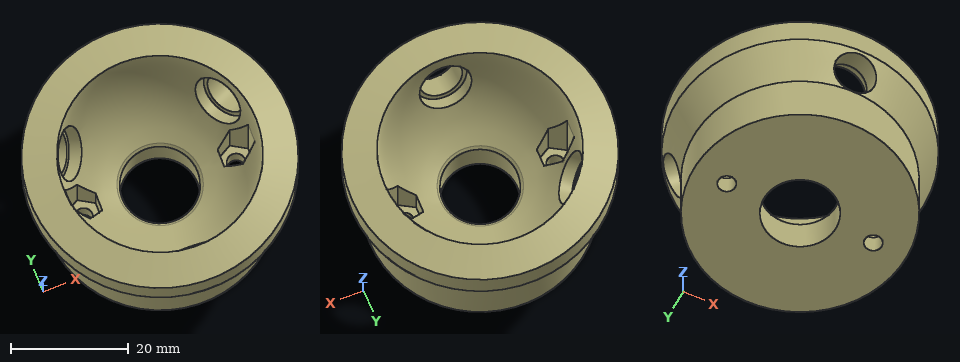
import cadquery as cq
import math

rim_radius = 23.5
base_radius = 20.2
top_height = 24.45
rim_top = 23.35
flare_top = 18.0
flare_bottom = 10.1
mouth_radius = 17.5

ball_center_height = 23.15
cavity_radius = 17.55
drain_radius = 6.8
drain_chamfer_radius = 7.35

support_angles = (30, 150, 270)
support_tilt = 23.5
support_radius = 3.9
counterbore_radius = 4.7
counterbore_floor_distance = 19.25
support_length = 32.9

screw_offset = 13.8
screw_radius = 1.6
nut_corner_diameter = 6.4
nut_floor_height = 4.0


def make_body():
    """Cylindrical base, conical flare and a rim with a gently sloping top."""
    profile = (
        cq.Workplane("XZ")
        .lineTo(base_radius, 0)
        .lineTo(base_radius, flare_bottom)
        .lineTo(rim_radius, flare_top)
        .lineTo(rim_radius, rim_top)
        .lineTo(mouth_radius, top_height)
        .lineTo(0, top_height)
        .close()
    )
    return profile.revolve(360, (0, 0), (0, 1))


def make_cavity():
    """Ball seat and the chamfered drain below it."""
    ball = cq.Workplane("XY").sphere(cavity_radius).translate((0, 0, ball_center_height))
    seat_height = ball_center_height - math.sqrt(cavity_radius**2 - drain_chamfer_radius**2)
    chamfer_bottom = seat_height - (drain_chamfer_radius - drain_radius)
    drain = (
        cq.Workplane("XZ")
        .lineTo(drain_radius, 0)
        .lineTo(drain_radius, chamfer_bottom)
        .lineTo(drain_chamfer_radius, seat_height)
        .lineTo(0, seat_height)
        .close()
        .revolve(360, (0, 0), (0, 1))
    )
    return ball.union(drain)


def make_support_hole(angle):
    """Stepped cutter running outward and down from the ball center."""
    turn = math.radians(angle)
    tilt = math.radians(support_tilt)
    direction = cq.Vector(
        math.cos(tilt) * math.cos(turn),
        math.cos(tilt) * math.sin(turn),
        -math.sin(tilt),
    )
    center = cq.Vector(0, 0, ball_center_height)
    hole = cq.Solid.makeCylinder(support_radius, support_length, center, direction)
    counterbore = cq.Solid.makeCylinder(
        counterbore_radius, counterbore_floor_distance, center, direction
    )
    return cq.Workplane(hole.fuse(counterbore))


def make_screw_hole(x):
    """Vertical screw hole with a nut pocket, corners toward +Y and -Y."""
    hole = cq.Workplane("XY").center(x, 0).circle(screw_radius).extrude(ball_center_height)
    pocket = (
        cq.Workplane("XY", origin=(x, 0, nut_floor_height))
        .transformed(rotate=(0, 0, 90))
        .polygon(6, nut_corner_diameter)
        .extrude(ball_center_height - nut_floor_height)
    )
    return hole.union(pocket)


result = make_body().cut(make_cavity())
for support_angle in support_angles:
    result = result.cut(make_support_hole(support_angle))
for screw_x in (-screw_offset, screw_offset):
    result = result.cut(make_screw_hole(screw_x))